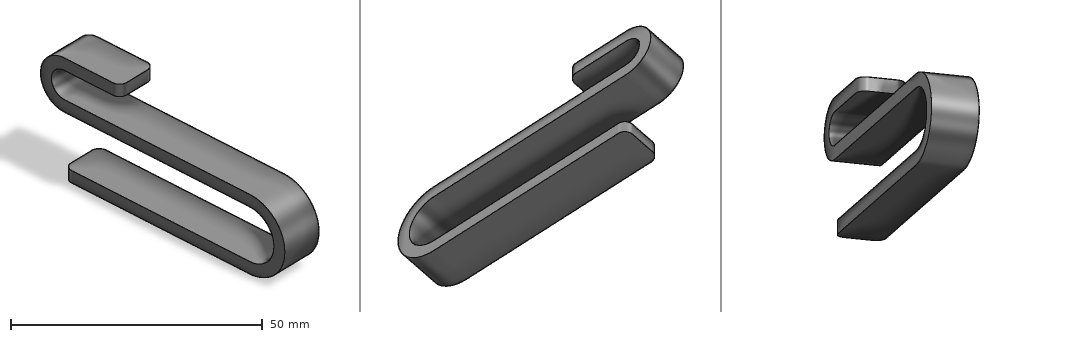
import cadquery as cq

length = 66.0
width = 10.0
thickness = 3.0
hook_radius = 6.5
bend_radius = 9.5
hook_tip_x = 21.5
corner_radius = 2.0

hook_x = hook_radius
bend_x = length - bend_radius
lower_tip_x = hook_x

bend_z = bend_radius
middle_top = 2 * bend_radius
middle_bottom = middle_top - thickness
hook_z = middle_bottom + hook_radius
hook_top = middle_bottom + 2 * hook_radius


def make_strip():
    """S-shaped side outline, extruded symmetrically across the width."""
    outline = (
        cq.Workplane("XZ")
        .moveTo(lower_tip_x, 0)
        .lineTo(bend_x, 0)
        .threePointArc((length, bend_z), (bend_x, middle_top))
        .lineTo(hook_x, middle_top)
        .threePointArc((thickness, hook_z), (hook_x, hook_top - thickness))
        .lineTo(hook_tip_x, hook_top - thickness)
        .lineTo(hook_tip_x, hook_top)
        .lineTo(hook_x, hook_top)
        .threePointArc((0, hook_z), (hook_x, middle_bottom))
        .lineTo(bend_x, middle_bottom)
        .threePointArc((length - thickness, bend_z), (bend_x, thickness))
        .lineTo(lower_tip_x, thickness)
        .close()
    )
    return outline.extrude(width / 2, both=True)


def round_free_end(strip, tip_x, tip_z):
    """Round both vertical corners of the free end whose end face is centred at (tip_x, tip_z)."""
    end_face = strip.faces(cq.selectors.NearestToPointSelector((tip_x, 0, tip_z)))
    return end_face.edges("|Z").fillet(corner_radius)


result = make_strip()
result = round_free_end(result, lower_tip_x, thickness / 2)
result = round_free_end(result, hook_tip_x, hook_top - thickness / 2)